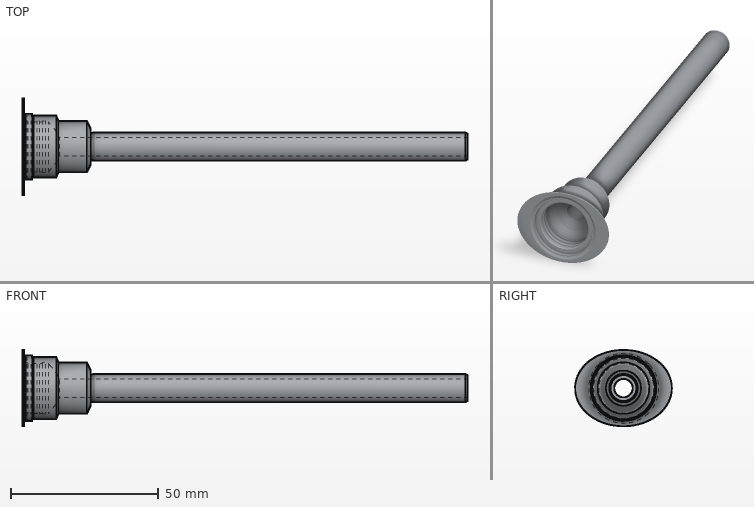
import cadquery as cq

total_length = 151.3
flange_width = 33.0
flange_height = 26.0
flange_thickness = 0.6

countersink_diameter = 23.8
countersink_depth = 0.5
neck_diameter = 22.1

collar_diameter = 22.4
collar_lead_in = 0.5
collar_end_x = 3.3
body_diameter = 21.2
body_lead_in_diameter = 20.5
body_lead_in = 0.5
body_end_x = 11.5
hub_diameter = 17.5
hub_start_x = 12.3
hub_end_x = 22.0
nose_diameter = 12.0
nose_end_x = 23.3

tube_diameter = 9.7
tube_start_x = 24.2
tube_chamfer = 0.5
tube_chamfer_length = 0.8

recess_diameter = 21.0
recess_end_x = 1.5
mouth_diameter = 17.5
mouth_chamfer_depth = 0.3
bore_diameter = 17.0
bore_end_x = 8.8
inner_cone_diameter = 12.0
inner_cone_end_x = 10.9
passage_diameter = 6.2
passage_start_x = 12.5
groove_diameter = 17.5
groove_width = 0.9
groove_pitch = 2.0
first_groove_x = 2.9
groove_count = 3


def turned(profile):
    """Revolve a list of (x, diameter) stations about the X axis."""
    axis_start = (profile[0][0], 0)
    axis_end = (profile[-1][0], 0)
    outline = [axis_start] + [(x, diameter / 2) for x, diameter in profile] + [axis_end]
    return cq.Workplane("XY").polyline(outline).close().revolve(360, (0, 0, 0), (1, 0, 0))


def make_flange():
    """Thin elliptical plate with a countersunk centre hole."""
    plate = (
        cq.Workplane("YZ")
        .ellipse(flange_width / 2, flange_height / 2)
        .extrude(flange_thickness)
    )
    hole = turned([
        (0, countersink_diameter),
        (countersink_depth, neck_diameter),
        (flange_thickness, neck_diameter),
    ])
    return plate.cut(hole)


def make_sleeve_outside():
    """Solid stepped sleeve and tube, including the neck inside the flange."""
    return turned([
        (countersink_depth, neck_diameter),
        (flange_thickness, neck_diameter),
        (flange_thickness + collar_lead_in, collar_diameter),
        (collar_end_x, collar_diameter),
        (collar_end_x, body_lead_in_diameter),
        (collar_end_x + body_lead_in, body_diameter),
        (body_end_x, body_diameter),
        (hub_start_x, hub_diameter),
        (hub_end_x, hub_diameter),
        (nose_end_x, nose_diameter),
        (nose_end_x, tube_diameter - tube_chamfer),
        (tube_start_x, tube_diameter),
        (total_length - tube_chamfer_length, tube_diameter),
        (total_length, tube_diameter - 2 * tube_chamfer),
    ])


def make_sleeve_cavity():
    """Recess and chamfered bore that tapers in two cones to the through passage."""
    return turned([
        (countersink_depth, recess_diameter),
        (recess_end_x, recess_diameter),
        (recess_end_x, mouth_diameter),
        (recess_end_x + mouth_chamfer_depth, bore_diameter),
        (bore_end_x, bore_diameter),
        (inner_cone_end_x, inner_cone_diameter),
        (passage_start_x, passage_diameter),
        (total_length, passage_diameter),
    ])


def make_sleeve():
    """Sleeve and tube with the bore and its ring grooves removed."""
    sleeve = make_sleeve_outside().cut(make_sleeve_cavity())
    for index in range(groove_count):
        groove_x = first_groove_x + index * groove_pitch
        groove = turned([
            (groove_x, bore_diameter),
            (groove_x, groove_diameter),
            (groove_x + groove_width, groove_diameter),
            (groove_x + groove_width, bore_diameter),
        ])
        sleeve = sleeve.cut(groove)
    return sleeve


flange = make_flange()
sleeve = make_sleeve()

result = cq.Compound.makeCompound([flange.val(), sleeve.val()])